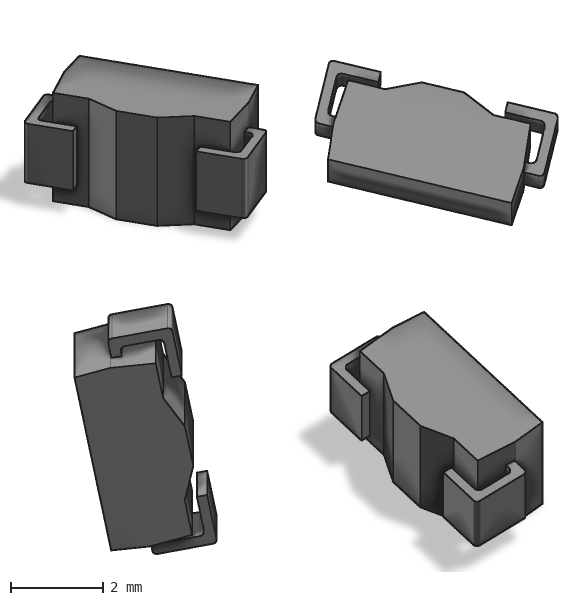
import cadquery as cq

body_height = 2.67
body_front_y = 0.455
body_widest_y = 1.44
body_back_y = 2.25
body_front_half_width = 2.035
body_widest_half_width = 2.12
body_back_half_width = 2.05

rib_tip_y = 0.12
rib_tip_half_width = 0.47
rib_base_half_width = 1.21

lead_span = 5.11
lead_width = 1.46
lead_thickness = 0.23
lead_top_y = 1.42
foot_length = 1.14
outer_bend_radius = 0.10
inner_bend_radius = 0.12
lead_embed = 0.2


def make_body():
    """Six-sided body with a trapezoidal rib along its front face."""
    right_side = [
        (rib_tip_half_width, rib_tip_y),
        (rib_base_half_width, body_front_y),
        (body_front_half_width, body_front_y),
        (body_widest_half_width, body_widest_y),
        (body_back_half_width, body_back_y),
    ]
    left_side = [(-x, y) for x, y in reversed(right_side)]
    outline = cq.Workplane("XY").polyline(right_side + left_side).close()
    return outline.extrude(body_height / 2, both=True)


def make_right_lead():
    """Strip bent from the body's +X side, down and back under it to a foot."""
    outer_x = lead_span / 2
    inner_x = outer_x - lead_thickness
    foot_end_x = outer_x - foot_length
    arm_end_x = body_widest_half_width - lead_embed
    arm_under_y = lead_top_y - lead_thickness
    outline = cq.Workplane("XY").polyline([
        (foot_end_x, 0),
        (outer_x, 0),
        (outer_x, lead_top_y),
        (arm_end_x, lead_top_y),
        (arm_end_x, arm_under_y),
        (inner_x, arm_under_y),
        (inner_x, lead_thickness),
        (foot_end_x, lead_thickness),
    ]).close()
    lead = outline.extrude(lead_width / 2, both=True)
    lead = lead.edges("|Z and >X").fillet(outer_bend_radius)
    inner_bends = cq.selectors.BoxSelector(
        (inner_x - lead_thickness / 2, 0, -lead_width),
        (inner_x + lead_thickness / 2, lead_top_y, lead_width),
    )
    return lead.edges("|Z").edges(inner_bends).fillet(inner_bend_radius)


right_lead = make_right_lead()
left_lead = right_lead.mirror("YZ")
result = make_body().union(right_lead).union(left_lead)